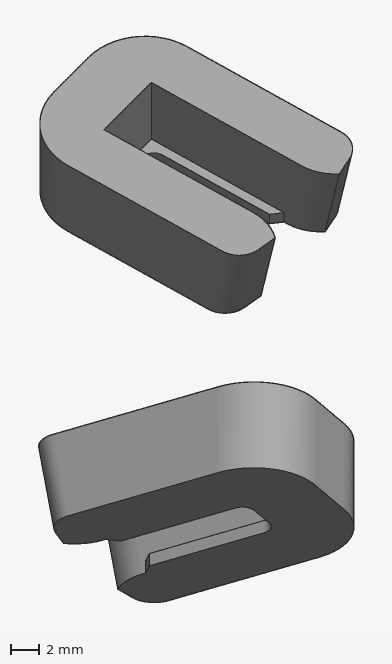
import math

import cadquery as cq

length = 20.88
width = 14.13
height = 7.0

back_radius = 5.0
back_thickness = 5.0
slot_width = 5.6

tip_angle = math.radians(10.0)
lean_angle = math.radians(10.0)
tip_outer_radius = 2.0
lead_in_radius = 4.0
lead_in_depth = 1.0

ledge_height = 1.0
ledge_back = 0.55
ledge_opening = 4.1
ledge_corner_radius = 1.0
ledge_end = 16.0

half_width = width / 2
half_slot = slot_width / 2


def mirrored_xy(point):
    return (point[0], -point[1])


def body_outline(tip_x):
    """Closed U outline whose sharp tips reach tip_x."""
    tip = (tip_x, half_slot + lead_in_depth)

    drop = half_width - tip_outer_radius * (1 - math.sin(tip_angle)) - tip[1]
    round_end = (tip_x - drop * math.tan(tip_angle), tip[1] + drop)
    round_center_x = round_end[0] - tip_outer_radius * math.cos(tip_angle)
    round_start = (round_center_x, half_width)
    mid_angle = (math.pi / 2 + tip_angle) / 2
    round_mid = (
        round_center_x + tip_outer_radius * math.cos(mid_angle),
        half_width - tip_outer_radius * (1 - math.sin(mid_angle)),
    )

    sweep = math.acos(1 - lead_in_depth / lead_in_radius)
    flare_x = tip_x - lead_in_radius * math.sin(sweep)
    flare_start = (flare_x, half_slot)
    flare_mid = (
        flare_x + lead_in_radius * math.sin(sweep / 2),
        half_slot + lead_in_radius * (1 - math.cos(sweep / 2)),
    )

    back_inset = back_radius * (1 - math.sqrt(0.5))
    back_mid = (back_inset, half_width - back_inset)

    return (
        cq.Workplane("XY")
        .moveTo(0, half_width - back_radius)
        .threePointArc(back_mid, (back_radius, half_width))
        .lineTo(*round_start)
        .threePointArc(round_mid, round_end)
        .lineTo(*tip)
        .threePointArc(flare_mid, flare_start)
        .lineTo(back_thickness, half_slot)
        .lineTo(back_thickness, -half_slot)
        .lineTo(*mirrored_xy(flare_start))
        .threePointArc(mirrored_xy(flare_mid), mirrored_xy(tip))
        .lineTo(*mirrored_xy(round_end))
        .threePointArc(mirrored_xy(round_mid), mirrored_xy(round_start))
        .lineTo(back_radius, -half_width)
        .threePointArc(mirrored_xy(back_mid), (0, back_radius - half_width))
        .close()
        .val()
    )


def make_body():
    """Ruled solid between the shorter bottom outline and the full-length top one."""
    lean = height * math.tan(lean_angle) / math.cos(tip_angle)
    bottom = body_outline(length - lean)
    top = body_outline(length).translate(cq.Vector(0, 0, height))
    return cq.Workplane(cq.Solid.makeLoft([bottom, top], True))


def make_ledge():
    """U-shaped ledge on the slot walls, with 45 degree ends."""
    side_depth = (slot_width - ledge_opening) / 2
    outer_end = ledge_end + side_depth
    opening_back = back_thickness + ledge_back
    half_opening = ledge_opening / 2

    plate = (
        cq.Workplane("XY")
        .polyline([
            (back_thickness, half_slot),
            (outer_end, half_slot),
            (ledge_end, half_opening),
            (ledge_end, -half_opening),
            (outer_end, -half_slot),
            (back_thickness, -half_slot),
        ])
        .close()
        .extrude(ledge_height)
    )
    opening = (
        cq.Workplane("XY")
        .box(ledge_end - opening_back, ledge_opening, ledge_height, centered=(False, True, False))
        .edges("|Z and <X")
        .fillet(ledge_corner_radius)
        .translate((opening_back, 0, 0))
    )
    return plate.cut(opening)


result = make_body().union(make_ledge())